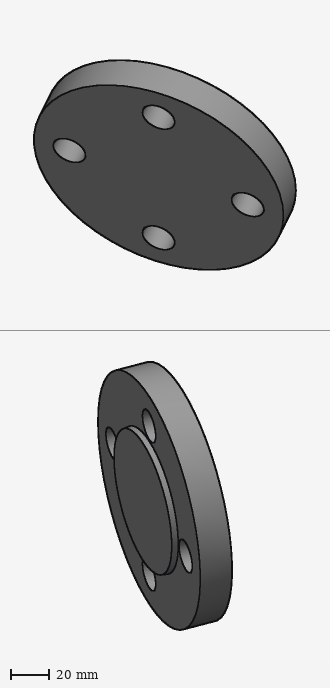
import cadquery as cq

flange_diameter = 140.0
overall_thickness = 21.5
raised_face_height = 3.5
plate_thickness = overall_thickness - raised_face_height

raised_base_diameter = 80.0
raised_top_diameter = 79.0

bolt_circle_diameter = 100.0
bolt_hole_diameter = 18.0
bolt_hole_count = 4


def make_body():
    """Revolve the half section of the plate and its slightly tapered raised face."""
    half_section = (
        cq.Workplane("XY")
        .lineTo(flange_diameter / 2, 0)
        .lineTo(flange_diameter / 2, plate_thickness)
        .lineTo(raised_base_diameter / 2, plate_thickness)
        .lineTo(raised_top_diameter / 2, overall_thickness)
        .lineTo(0, overall_thickness)
        .close()
    )
    return half_section.revolve(360, (0, 0, 0), (0, 1, 0))


def make_bolt_holes():
    """Through-hole cutters on the bolt circle, starting on the X axis."""
    return (
        cq.Workplane("XZ")
        .polarArray(bolt_circle_diameter / 2, 0, 360, bolt_hole_count)
        .circle(bolt_hole_diameter / 2)
        .extrude(-overall_thickness)
    )


result = make_body().cut(make_bolt_holes())